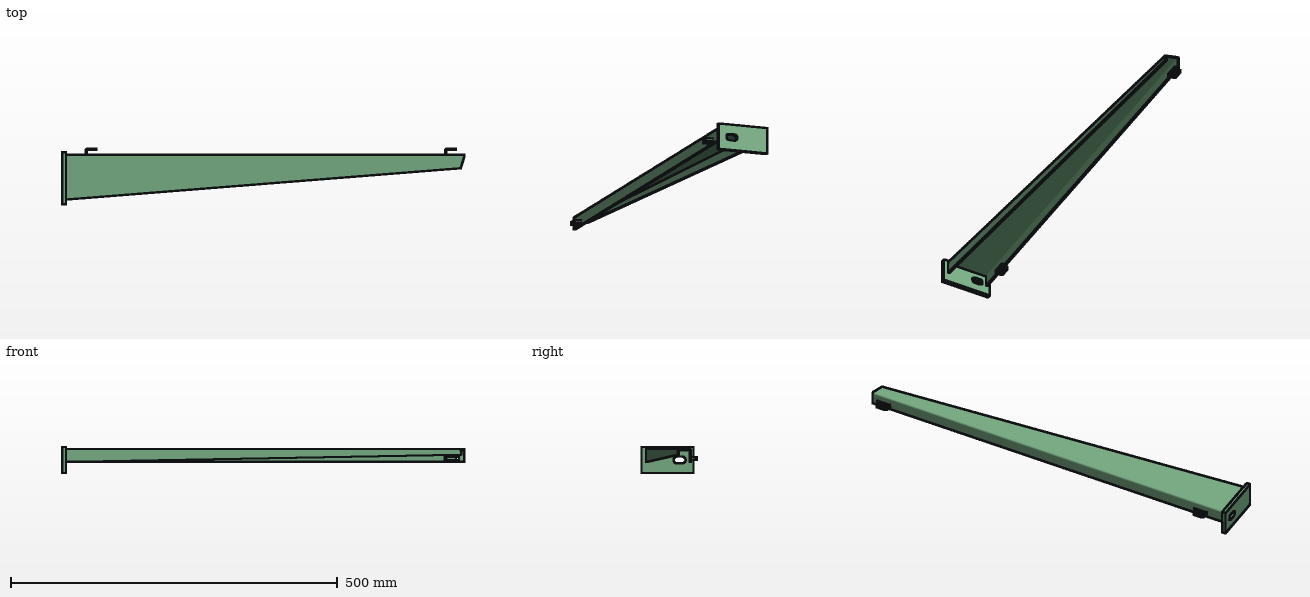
import cadquery as cq

plate_thickness = 6.0
plate_width = 80.0
plate_height = 40.0

bolt_slot_length = 18.0
bolt_slot_height = 10.0
bolt_slot_y = 58.5
bolt_slot_z = plate_height / 2

overall_length = 616.0
sheet = 2.5
arm_top_z = plate_height - 3.0
arm_depth = 20.0
arm_bottom_z = arm_top_z - arm_depth
arm_back_y = plate_width - 4.0
root_width = 69.0
tip_width = 21.0
tip_setback = 5.5
front_flange_tip_depth = 9.0
bend_outer_radius = 3.0
bend_inner_radius = bend_outer_radius - sheet

hook_reach_y = 85.15
hook_height = 4.5
hook_z = 22.5
hook_length = 17.0
hook_sheet = 2.0
hook_inner_radius = 1.0
hook_outer_radius = hook_inner_radius + hook_sheet
window_length = 22.0
hook_starts = (36.0, 586.5)

tip_x = overall_length - tip_setback
root_front_y = arm_back_y - root_width
tip_front_y = arm_back_y - tip_width


def make_wall_plate():
    plate = cq.Workplane("XY").box(plate_thickness, plate_width, plate_height, centered=False)
    slot = (
        cq.Workplane("YZ")
        .center(bolt_slot_y, bolt_slot_z)
        .slot2D(bolt_slot_length, bolt_slot_height)
        .extrude(plate_thickness)
    )
    return plate.cut(slot)


def make_channel():
    """Tapered block hollowed into a top web with a front and a back flange."""
    outline = [
        (plate_thickness, arm_back_y),
        (overall_length, arm_back_y),
        (overall_length, arm_back_y - bend_outer_radius),
        (tip_x, tip_front_y),
        (plate_thickness, root_front_y),
    ]
    base = cq.Workplane("XY").workplane(offset=arm_bottom_z)
    block = base.polyline(outline).close().extrude(arm_depth)
    block = block.edges("|X and >Y and >Z").fillet(bend_outer_radius)

    past_tip = overall_length + tip_setback
    slope = (tip_front_y - root_front_y) / (tip_x - plate_thickness)
    cavity_outline = [
        (plate_thickness, arm_back_y - sheet),
        (past_tip, arm_back_y - sheet),
        (past_tip, root_front_y + sheet + slope * (past_tip - plate_thickness)),
        (plate_thickness, root_front_y + sheet),
    ]
    cavity = (
        base.polyline(cavity_outline)
        .close()
        .extrude(arm_depth - sheet)
        .edges("|X and >Y and >Z")
        .fillet(bend_inner_radius)
    )
    return block.cut(cavity)


def make_flange_relief():
    """Wedge below the front flange, whose lower edge rises toward the tip."""
    return (
        cq.Workplane("XZ")
        .moveTo(plate_thickness, arm_bottom_z)
        .lineTo(overall_length, arm_bottom_z)
        .lineTo(overall_length, arm_top_z - front_flange_tip_depth)
        .lineTo(tip_x, arm_top_z - front_flange_tip_depth)
        .close()
        .extrude(-(arm_back_y - sheet))
    )


def make_hook_window(start_x):
    """Opening left in the back flange where a hook was lanced out."""
    return (
        cq.Workplane("XY")
        .box(window_length, sheet, hook_height, centered=(False, False, True))
        .translate((start_x - hook_inner_radius, arm_back_y - sheet, hook_z))
    )


def make_hook(start_x):
    """S-bent tab: a root bend out of the back flange, a stem, and a finger pointing to the tip."""
    root_x = start_x - hook_inner_radius
    stem_x = start_x + hook_sheet
    end_x = start_x + hook_length
    root_inner_y = arm_back_y - hook_sheet
    finger_inner_y = hook_reach_y - hook_sheet
    return (
        cq.Workplane("XY")
        .workplane(offset=hook_z - hook_height / 2)
        .moveTo(root_x, root_inner_y)
        .lineTo(root_x, arm_back_y)
        .radiusArc((start_x, arm_back_y + hook_inner_radius), -hook_inner_radius)
        .lineTo(start_x, hook_reach_y - hook_outer_radius)
        .radiusArc((start_x + hook_outer_radius, hook_reach_y), hook_outer_radius)
        .lineTo(end_x, hook_reach_y)
        .lineTo(end_x, finger_inner_y)
        .lineTo(stem_x + hook_inner_radius, finger_inner_y)
        .radiusArc((stem_x, finger_inner_y - hook_inner_radius), -hook_inner_radius)
        .lineTo(stem_x, root_inner_y + hook_outer_radius)
        .radiusArc((root_x, root_inner_y), hook_outer_radius)
        .close()
        .extrude(hook_height)
    )


def make_arm():
    arm = make_channel().cut(make_flange_relief())
    for start_x in hook_starts:
        arm = arm.cut(make_hook_window(start_x)).union(make_hook(start_x))
    return arm


wall_plate = make_wall_plate()
arm = make_arm()
result = cq.Compound.makeCompound([wall_plate.val(), *arm.solids().vals()])